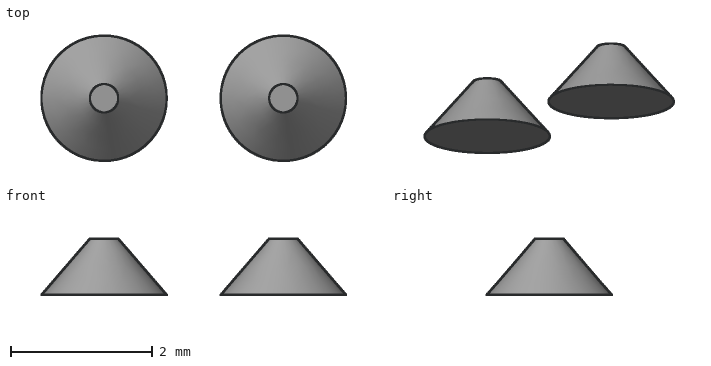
import cadquery as cq

overall_length = 4.32
base_diameter = 1.78
top_diameter = 0.4
cone_height = 0.8

cone_spacing = overall_length - base_diameter


def make_cone(center_x):
    """Truncated cone standing on Z = 0 with its axis at the given X."""
    return cq.Solid.makeCone(
        base_diameter / 2,
        top_diameter / 2,
        cone_height,
        pnt=cq.Vector(center_x, 0, 0),
    )


cones = [make_cone(side * cone_spacing / 2) for side in (-1, 1)]

result = cq.Compound.makeCompound([*cones])